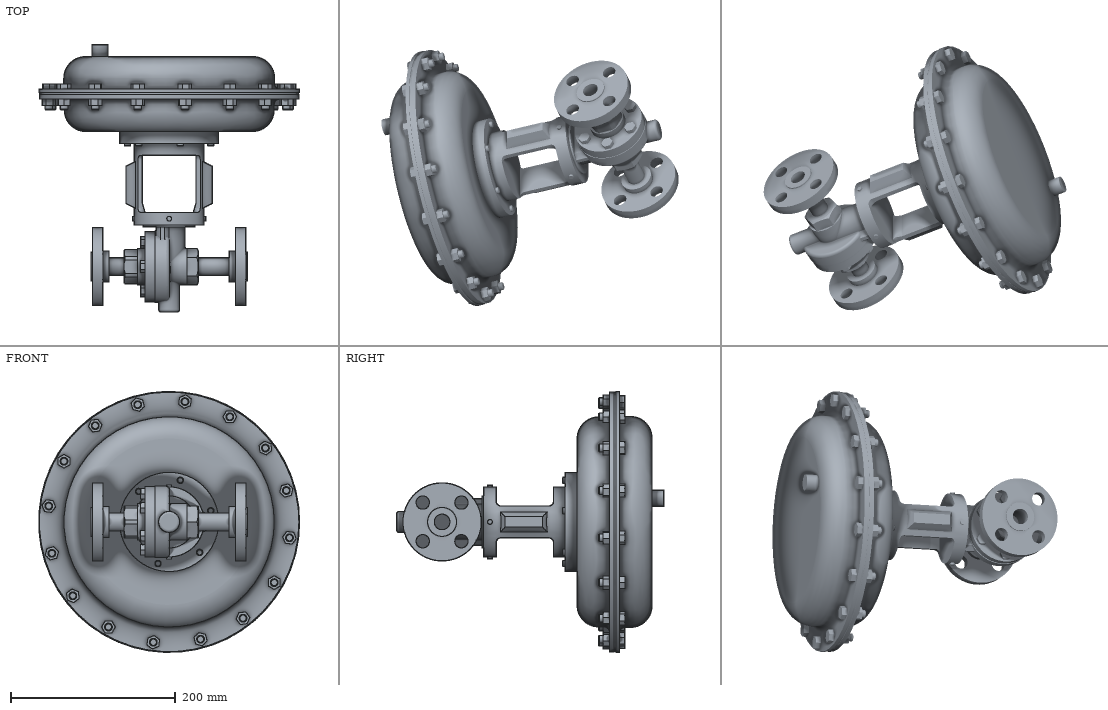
import cadquery as cq
import math


HEX_SIDES = 6
HEX_HALF_STEP = 180.0 / HEX_SIDES

UPPER_CASING_RADIUS = 128.4
LOWER_CASING_RADIUS = 127.8
CASING_DOME_RADIUS = 26.6
CASING_ROOT_RADIUS = 6.4
CASING_TOP = 255.4
CASING_BOTTOM = 164.2
FLANGE_TOP = 215.8
FLANGE_BOTTOM = 203.6
UPPER_FLANGE_RADIUS = 158.75
LOWER_FLANGE_RADIUS = 158.1
DIAPHRAGM_RADIUS = 157.7
UPPER_FLANGE_THICKNESS = 4.3
DIAPHRAGM_THICKNESS = 2.4

PORT_RADIUS = 9.9
PORT_TOP = 269.85
PORT_X = -84.2
PORT_Z = 28.9

CASING_BOLT_COUNT = 16
CASING_BOLT_CIRCLE_RADIUS = 147.6
CLOCKING_ANGLE = 15.0
CASING_HEX_FLATS = 14.4
CASING_HEAD_HEIGHT = 6.4
CASING_NUT_HEIGHT = 7.8
STUD_RADIUS = 4.7
STUD_CHAMFER = 0.9
STUD_LENGTH = 13.1

YOKE_PLATE_RADIUS = 60.3
YOKE_PLATE_BOTTOM = 149.5
YOKE_RADIUS = 42.6
YOKE_BOTTOM = 50.5
YOKE_SPIGOT_RADIUS = 31.7
YOKE_SPIGOT_BOTTOM = 48.3
WINDOW_TOP = 135.4
WINDOW_BOTTOM = 66.0
WINDOW_TAPER_TOP = 76.8
WINDOW_HALF_WIDTH = 32.4
WINDOW_BOTTOM_HALF_WIDTH = 29.3
WINDOW_CORNER_RADIUS = 5.5
ARM_HALF_DEPTH = 19.5

PLATE_SCREW_COUNT = 6
PLATE_SCREW_CIRCLE_RADIUS = 52.4
PLATE_SCREW_RADIUS = 3.9
PLATE_SCREW_HEIGHT = 3.1
PLATE_SCREW_CHAMFER = 0.8
RING_SCREW_COUNT = 4
RING_SCREW_RADIUS = 2.9
RING_SCREW_REACH = 44.8

PAD_CENTRE_Y = 99.4
PAD_BASE_X = 39.5
PAD_FACE_X = 52.6
PAD_BASE_SIZE = (58.5, 26.0)
PAD_FACE_SIZE = (45.4, 12.6)

COVER_START = -29.4
COVER_END = -17.0
COVER_RADIUS = 42.9
BODY_DISC_END = 0.3
BODY_DISC_RADIUS = 43.6
BODY_DISC_FILLET = 4.0
BODY_BARREL_RADIUS = 22.2
BODY_BARREL_END = 21.5
NECK_X = -2.4
NECK_RADIUS = 22.0
DRAIN_RADIUS = 12.8
DRAIN_END = -55.4
DRAIN_FILLET = 3.2
ROOT_FILLET = 1.2
SELECT_MARGIN = 0.2

LUG_START = -15.7
LUG_END = 0.0
LUG_HALF_DEPTH = 28.4
LUG_BOTTOM = 25.0
LUG_CHAMFER_X = 5.4
LUG_CHAMFER_Z = 6.4
LUG_ROOT_FILLET = 1.0

COVER_BOLT_COUNT = 6
COVER_BOLT_CIRCLE_RADIUS = 34.0
COVER_BOLT_FIRST_ANGLE = 30.0
COVER_BOLT_FLATS = 12.7
COVER_BOLT_HEIGHT = 5.4

UNION_FLATS = 38.6
COLLAR_START = -38.2
LEFT_UNION_END = -54.6
LEFT_UNION_CORNER_RADIUS = 21.0
LEFT_UNION_CHAMFER = 1.2
RIGHT_UNION_END = 35.8
RIGHT_UNION_CHAMFER_LENGTH = 1.9
RIGHT_UNION_FACE_RADIUS = 18.3
PIPE_RADIUS = 10.9
BORE_RADIUS = 9.5
RAISED_FACE_X = 95.1
RAISED_FACE_HEIGHT = 1.7
RAISED_FACE_RADIUS = 17.6
END_FLANGE_THICKNESS = 12.8
END_FLANGE_RADIUS = 47.6
HUB_LENGTH = 7.7
HUB_RADIUS = 19.0
FLANGE_HOLE_OFFSET = 23.5
FLANGE_HOLE_RADIUS = 8.1


def cylinder_y(radius, start, end, x=0.0, z=0.0):
    """Cylinder parallel to Y between two levels."""
    base = cq.Vector(x, min(start, end), z)
    return cq.Workplane(cq.Solid.makeCylinder(radius, abs(end - start), base, cq.Vector(0, 1, 0)))


def cylinder_x(radius, start, end, y=0.0, z=0.0):
    """Cylinder parallel to X between two stations."""
    base = cq.Vector(min(start, end), y, z)
    return cq.Workplane(cq.Solid.makeCylinder(radius, abs(end - start), base, cq.Vector(1, 0, 0)))


def hexagon_diameter(flats):
    """Diameter across the corners of a hexagon."""
    return flats / math.cos(math.pi / HEX_SIDES)


def hexagon_x(flats, start, end, y=0.0, z=0.0):
    """Hexagonal prism parallel to X with its corners toward +Y and -Y."""
    return (
        cq.Workplane("YZ", origin=(start, y, z))
        .polygon(HEX_SIDES, hexagon_diameter(flats))
        .extrude(end - start)
    )


def on_circle(count, radius, first_angle):
    """Evenly spaced points on a circle: angle in degrees and the two coordinates in its plane."""
    points = []
    for index in range(count):
        angle = first_angle + index * 360.0 / count
        turn = math.radians(angle)
        points.append((angle, radius * math.cos(turn), radius * math.sin(turn)))
    return points


def join(body, parts):
    """Fuse several parts to a body in one operation."""
    return cq.Workplane(body.val().fuse(*[part.val() for part in parts]))


def casing_half(wall_radius, crown, flange_radius, flange_face, flange_back):
    """Domed cover with a flat crown and a flange joined by a concave root."""
    outward = math.copysign(1, crown - flange_face)
    crown_radius = wall_radius - CASING_DOME_RADIUS
    dome_centre = crown - outward * CASING_DOME_RADIUS
    diagonal = math.sqrt(0.5)
    root_radius = wall_radius + CASING_ROOT_RADIUS
    root_centre = flange_face + outward * CASING_ROOT_RADIUS
    dome_middle = (
        crown_radius + diagonal * CASING_DOME_RADIUS,
        dome_centre + outward * diagonal * CASING_DOME_RADIUS,
    )
    root_middle = (
        root_radius - diagonal * CASING_ROOT_RADIUS,
        root_centre - outward * diagonal * CASING_ROOT_RADIUS,
    )
    return (
        cq.Workplane("XY")
        .moveTo(0, flange_back)
        .lineTo(0, crown)
        .lineTo(crown_radius, crown)
        .threePointArc(dome_middle, (wall_radius, dome_centre))
        .lineTo(wall_radius, root_centre)
        .threePointArc(root_middle, (root_radius, flange_face))
        .lineTo(flange_radius, flange_face)
        .lineTo(flange_radius, flange_back)
        .close()
        .revolve(360, (0, 0, 0), (0, 1, 0))
    )


def make_casing():
    """Both casing halves, the diaphragm edge between them and the air port."""
    diaphragm_top = FLANGE_TOP - UPPER_FLANGE_THICKNESS
    diaphragm_bottom = diaphragm_top - DIAPHRAGM_THICKNESS
    upper = casing_half(UPPER_CASING_RADIUS, CASING_TOP, UPPER_FLANGE_RADIUS, FLANGE_TOP, diaphragm_top)
    lower = casing_half(
        LOWER_CASING_RADIUS, CASING_BOTTOM, LOWER_FLANGE_RADIUS, FLANGE_BOTTOM, diaphragm_bottom
    )
    diaphragm = cylinder_y(DIAPHRAGM_RADIUS, diaphragm_bottom, diaphragm_top)
    port = cylinder_y(PORT_RADIUS, CASING_BOTTOM, PORT_TOP, PORT_X, PORT_Z)
    return upper.union(diaphragm).union(lower).union(port)


def make_casing_bolt():
    """Bolt clamping the flanges, on the Y axis; the nut has a corner toward +X, the head a flat."""
    diameter = hexagon_diameter(CASING_HEX_FLATS)
    top_face = cq.Workplane("XZ", origin=(0, FLANGE_TOP, 0))
    bottom_face = cq.Workplane("XZ", origin=(0, FLANGE_BOTTOM, 0))
    head = top_face.polygon(HEX_SIDES, diameter).extrude(-CASING_HEAD_HEIGHT)
    head = head.rotate((0, 0, 0), (0, 1, 0), HEX_HALF_STEP)
    nut = bottom_face.polygon(HEX_SIDES, diameter).extrude(CASING_NUT_HEIGHT)
    stud = cylinder_y(STUD_RADIUS, FLANGE_BOTTOM - STUD_LENGTH, FLANGE_TOP)
    stud = stud.faces("<Y").chamfer(STUD_CHAMFER)
    return head.union(stud).union(nut)


def add_casing_bolts(body):
    """Ring of bolts through both flanges, each turned to face the actuator axis."""
    bolt = make_casing_bolt()
    bolts = []
    for angle, x, z in on_circle(CASING_BOLT_COUNT, CASING_BOLT_CIRCLE_RADIUS, CLOCKING_ANGLE):
        turned = bolt.rotate((0, 0, 0), (0, 1, 0), -angle)
        bolts.append(turned.translate((x, 0, z)))
    return join(body, bolts)


def make_pad(side):
    """Tapered rectangular pad on the outside of one yoke arm."""
    base = cq.Workplane("YZ", origin=(side * PAD_BASE_X, PAD_CENTRE_Y, 0))
    return (
        base.rect(*PAD_BASE_SIZE)
        .workplane(offset=side * (PAD_FACE_X - PAD_BASE_X))
        .rect(*PAD_FACE_SIZE)
        .loft()
    )


def cut_window(yoke):
    """Open the yoke along Z, leaving two arms with rounded roots."""
    opening = (
        cq.Workplane("XY")
        .moveTo(-WINDOW_HALF_WIDTH, WINDOW_TOP)
        .lineTo(WINDOW_HALF_WIDTH, WINDOW_TOP)
        .lineTo(WINDOW_HALF_WIDTH, WINDOW_TAPER_TOP)
        .lineTo(WINDOW_BOTTOM_HALF_WIDTH, WINDOW_BOTTOM)
        .lineTo(-WINDOW_BOTTOM_HALF_WIDTH, WINDOW_BOTTOM)
        .lineTo(-WINDOW_HALF_WIDTH, WINDOW_TAPER_TOP)
        .close()
        .extrude(YOKE_RADIUS, both=True)
    )
    yoke = yoke.cut(opening)
    height = WINDOW_TOP - WINDOW_BOTTOM
    middle = (WINDOW_TOP + WINDOW_BOTTOM) / 2
    for side in (-1, 1):
        recess = cq.Workplane("XY").box(2 * YOKE_RADIUS, height, YOKE_RADIUS)
        recess = recess.faces(">Z" if side < 0 else "<Z").edges("|X").fillet(WINDOW_CORNER_RADIUS)
        yoke = yoke.cut(recess.translate((0, middle, side * (ARM_HALF_DEPTH + YOKE_RADIUS / 2))))
    return yoke


def make_yoke():
    """Plate, windowed cylinder and spigot, with side pads and screw heads."""
    yoke = cut_window(cylinder_y(YOKE_RADIUS, YOKE_BOTTOM, YOKE_PLATE_BOTTOM))
    yoke = yoke.union(cylinder_y(YOKE_PLATE_RADIUS, YOKE_PLATE_BOTTOM, CASING_BOTTOM))
    yoke = yoke.union(cylinder_y(YOKE_SPIGOT_RADIUS, YOKE_SPIGOT_BOTTOM, YOKE_BOTTOM))
    for side in (-1, 1):
        yoke = yoke.union(make_pad(side))

    screw = cylinder_y(PLATE_SCREW_RADIUS, YOKE_PLATE_BOTTOM - PLATE_SCREW_HEIGHT, YOKE_PLATE_BOTTOM)
    screw = screw.faces("<Y").chamfer(PLATE_SCREW_CHAMFER)
    screws = []
    for _, x, z in on_circle(PLATE_SCREW_COUNT, PLATE_SCREW_CIRCLE_RADIUS, CLOCKING_ANGLE):
        screws.append(screw.translate((x, 0, z)))

    ring_middle = (YOKE_BOTTOM + WINDOW_BOTTOM) / 2
    ring_screw = cylinder_x(RING_SCREW_RADIUS, YOKE_SPIGOT_RADIUS, RING_SCREW_REACH, ring_middle)
    for angle, _, _ in on_circle(RING_SCREW_COUNT, RING_SCREW_REACH, 0):
        screws.append(ring_screw.rotate((0, 0, 0), (0, 1, 0), angle))
    return join(yoke, screws)


def make_lug():
    """Block joining the body disc to the spigot, with chamfered upright edges."""
    return (
        cq.Workplane("XZ", origin=(0, LUG_BOTTOM, 0))
        .moveTo(LUG_START, LUG_HALF_DEPTH - LUG_CHAMFER_Z)
        .lineTo(LUG_START + LUG_CHAMFER_X, LUG_HALF_DEPTH)
        .lineTo(LUG_END - LUG_CHAMFER_X, LUG_HALF_DEPTH)
        .lineTo(LUG_END, LUG_HALF_DEPTH - LUG_CHAMFER_Z)
        .lineTo(LUG_END, LUG_CHAMFER_Z - LUG_HALF_DEPTH)
        .lineTo(LUG_END - LUG_CHAMFER_X, -LUG_HALF_DEPTH)
        .lineTo(LUG_START + LUG_CHAMFER_X, -LUG_HALF_DEPTH)
        .lineTo(LUG_START, LUG_CHAMFER_Z - LUG_HALF_DEPTH)
        .close()
        .extrude(LUG_BOTTOM - YOKE_SPIGOT_BOTTOM)
    )


def make_neck():
    """Round neck above the barrel, cut flat in line with the lug."""
    neck = cylinder_y(NECK_RADIUS, 0, YOKE_SPIGOT_BOTTOM, NECK_X)
    keep = cq.Workplane("XY", origin=(LUG_START, 0, 0)).box(
        2 * NECK_RADIUS, 2 * YOKE_SPIGOT_BOTTOM, 2 * NECK_RADIUS, centered=(False, True, True)
    )
    return neck.intersect(keep)


def fillet_roots(piece, radius, x_range, y_range, half_depth):
    """Round the edges lying wholly inside a box that is symmetric in Z."""
    low = (x_range[0] - SELECT_MARGIN, y_range[0] - SELECT_MARGIN, -half_depth - SELECT_MARGIN)
    high = (x_range[1] + SELECT_MARGIN, y_range[1] + SELECT_MARGIN, half_depth + SELECT_MARGIN)
    return piece.edges(cq.selectors.BoxSelector(low, high, boundingbox=True)).fillet(radius)


def make_casting():
    """Disc, barrel, neck, lug and drain boss, each junction rounded before they are joined."""
    disc = cylinder_x(BODY_DISC_RADIUS, COVER_END, BODY_DISC_END)
    disc = disc.faces(">X").edges().fillet(BODY_DISC_FILLET)
    barrel = cylinder_x(BODY_BARREL_RADIUS, COLLAR_START, BODY_BARREL_END)
    drain = cylinder_y(DRAIN_RADIUS, DRAIN_END, 0)
    drain = drain.faces("<Y").edges().fillet(DRAIN_FILLET)

    neck_end = NECK_X + NECK_RADIUS
    fillet_start = BODY_DISC_END - BODY_DISC_FILLET
    disc_flat_radius = BODY_DISC_RADIUS - BODY_DISC_FILLET
    barrel_piece = fillet_roots(
        disc.union(barrel).union(make_neck()),
        ROOT_FILLET,
        (BODY_DISC_END, neck_end),
        (-BODY_BARREL_RADIUS, disc_flat_radius),
        BODY_BARREL_RADIUS,
    )
    drain_on_disc = fillet_roots(
        disc.union(drain),
        ROOT_FILLET,
        (-DRAIN_RADIUS, DRAIN_RADIUS),
        (-BODY_DISC_RADIUS, -BODY_BARREL_RADIUS),
        DRAIN_RADIUS,
    )
    drain_on_barrel = fillet_roots(
        barrel.union(drain),
        ROOT_FILLET,
        (-DRAIN_RADIUS, DRAIN_RADIUS),
        (-BODY_BARREL_RADIUS, 0),
        DRAIN_RADIUS,
    )
    lug_on_disc = fillet_roots(
        disc.union(make_lug()),
        LUG_ROOT_FILLET,
        (LUG_START, fillet_start),
        (LUG_BOTTOM, BODY_DISC_RADIUS),
        LUG_HALF_DEPTH,
    )
    return barrel_piece.union(drain_on_disc).union(drain_on_barrel).union(lug_on_disc)


def make_valve_body():
    """Casting with its bolted cover."""
    body = make_casting().union(cylinder_x(COVER_RADIUS, COVER_START, COVER_END))
    bolts = []
    for _, y, z in on_circle(COVER_BOLT_COUNT, COVER_BOLT_CIRCLE_RADIUS, COVER_BOLT_FIRST_ANGLE):
        bolts.append(hexagon_x(COVER_BOLT_FLATS, COVER_START - COVER_BOLT_HEIGHT, COVER_START, y, z))
    return join(body, bolts)


def make_unions():
    """Hexagons turned on the outside: blunt corners on the left, a wide chamfer on the right."""
    left_blank = cylinder_x(LEFT_UNION_CORNER_RADIUS, LEFT_UNION_END, COLLAR_START)
    left_blank = left_blank.faces("<X").chamfer(LEFT_UNION_CHAMFER)
    left = hexagon_x(UNION_FLATS, LEFT_UNION_END, COLLAR_START).intersect(left_blank)

    corner_radius = hexagon_diameter(UNION_FLATS) / 2
    right_blank = cylinder_x(corner_radius, BODY_BARREL_END, RIGHT_UNION_END)
    right_blank = right_blank.faces(">X").chamfer(
        RIGHT_UNION_CHAMFER_LENGTH, corner_radius - RIGHT_UNION_FACE_RADIUS
    )
    right = hexagon_x(UNION_FLATS, BODY_BARREL_END, RIGHT_UNION_END).intersect(right_blank)
    return left, right


def make_pipe_end(side, pipe_start):
    """Bored pipe with hub, bolting flange and raised face on one side of the valve."""
    flange_face = RAISED_FACE_X - RAISED_FACE_HEIGHT
    flange_back = flange_face - END_FLANGE_THICKNESS
    flange = cylinder_x(END_FLANGE_RADIUS, side * flange_back, side * flange_face)
    for y in (-FLANGE_HOLE_OFFSET, FLANGE_HOLE_OFFSET):
        for z in (-FLANGE_HOLE_OFFSET, FLANGE_HOLE_OFFSET):
            flange = flange.cut(cylinder_x(FLANGE_HOLE_RADIUS, side * flange_back, side * flange_face, y, z))
    pipe = cylinder_x(PIPE_RADIUS, pipe_start, side * flange_face)
    hub = cylinder_x(HUB_RADIUS, side * (flange_back - HUB_LENGTH), side * flange_back)
    raised_face = cylinder_x(RAISED_FACE_RADIUS, side * flange_face, side * RAISED_FACE_X)
    bore = cylinder_x(BORE_RADIUS, pipe_start, side * RAISED_FACE_X)
    return pipe.union(hub).union(flange).union(raised_face).cut(bore)


actuator = add_casing_bolts(make_casing())
left_union, right_union = make_unions()
left_pipe = make_pipe_end(-1, LEFT_UNION_END)
right_pipe = make_pipe_end(1, RIGHT_UNION_END)
valve = join(make_valve_body(), [left_union, right_union, left_pipe, right_pipe])
result = actuator.union(make_yoke()).union(valve)